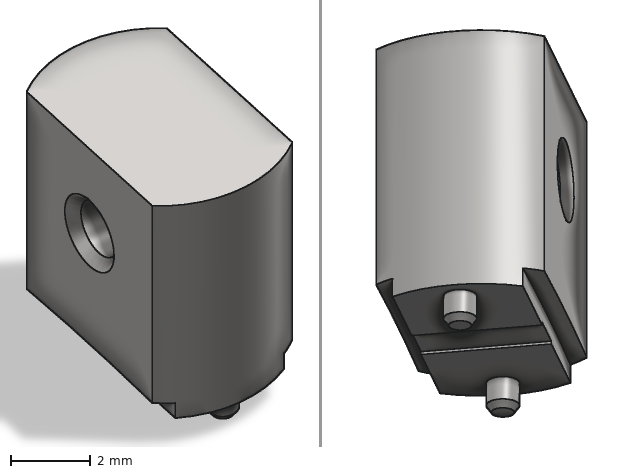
import cadquery as cq
import math

total_height = 7.8
body_diameter = 7.0
body_thickness = 4.33
pin_length = 0.8
body_height = total_height - pin_length
body_radius = body_diameter / 2

foot_thickness = 3.355
shoulder_mid_height = 0.58
shoulder_end_height = 0.5
foot_half_width = math.sqrt(body_radius**2 - (foot_thickness / 2) ** 2)

groove_width = 1.2
groove_depth = 0.08

hole_diameter = 1.57
countersink_diameter = 2.15
countersink_angle = 90.0
hole_below_top = 2.78

pin_diameter = 0.84
pin_spacing = 5.52
tip_length = 0.19
tip_inset = 0.13


def make_body():
    """Round bar with two parallel flats."""
    bar = cq.Workplane("XY").circle(body_radius).extrude(body_height)
    slab = cq.Workplane("XY").box(
        body_diameter, body_thickness, body_height, centered=(True, True, False)
    )
    return bar.intersect(slab)


def make_shoulder_cuts():
    """Material under the arched shoulders, outside the foot."""
    rise = shoulder_mid_height - shoulder_end_height
    arch_radius = (foot_half_width**2 + rise**2) / (2 * rise)
    end_drop = arch_radius - math.sqrt(arch_radius**2 - body_radius**2)
    end_height = shoulder_mid_height - end_drop
    arched_block = (
        cq.Workplane("XZ")
        .moveTo(-body_radius, 0)
        .lineTo(-body_radius, end_height)
        .threePointArc((0, shoulder_mid_height), (body_radius, end_height))
        .lineTo(body_radius, 0)
        .close()
        .extrude(body_thickness / 2, both=True)
    )
    foot = cq.Workplane("XY").box(
        body_diameter, foot_thickness, body_height, centered=(True, True, False)
    )
    return arched_block.cut(foot)


def make_groove():
    """Groove running along Y through the underside."""
    return cq.Workplane("XY").box(
        groove_width, body_thickness, groove_depth, centered=(True, True, False)
    )


def make_hole():
    """Through hole along Y with a countersink on the -Y flat."""
    return (
        cq.Workplane("XZ", origin=(0, body_thickness / 2, body_height - hole_below_top))
        .circle(hole_diameter / 2)
        .extrude(body_thickness)
    )


def make_countersink():
    """Cone narrowing from the -Y flat to the hole diameter."""
    rim_radius = countersink_diameter / 2
    hole_radius = hole_diameter / 2
    depth = (rim_radius - hole_radius) / math.tan(math.radians(countersink_angle / 2))
    rim_centre = cq.Vector(0, -body_thickness / 2, body_height - hole_below_top)
    return cq.Solid.makeCone(rim_radius, hole_radius, depth, rim_centre, cq.Vector(0, 1, 0))


def make_pins():
    """Two pins hanging below the body, each with a tapered tip."""
    return (
        cq.Workplane("XY")
        .pushPoints([(-pin_spacing / 2, 0), (pin_spacing / 2, 0)])
        .circle(pin_diameter / 2)
        .extrude(-pin_length)
        .faces("<Z")
        .edges()
        .chamfer(tip_length, tip_inset)
    )


result = (
    make_body()
    .cut(make_shoulder_cuts())
    .cut(make_groove())
    .cut(make_hole())
    .cut(make_countersink())
    .union(make_pins())
)